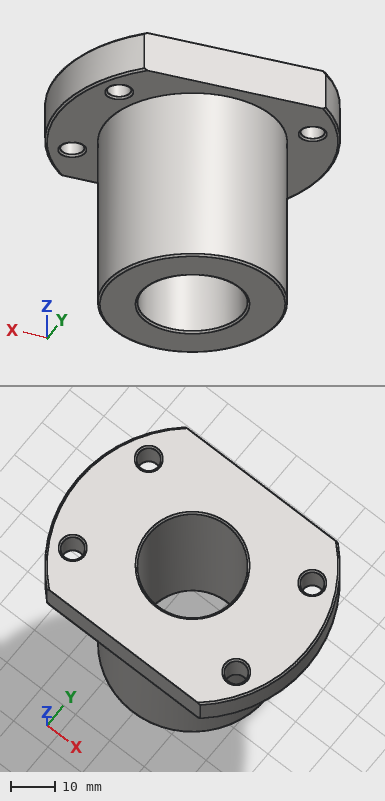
import cadquery as cq

flange_diameter = 67.0
flange_width = 50.0
flange_thickness = 10.0

total_height = 53.0
body_diameter = 43.0
bore_diameter = 25.0

hole_diameter = 5.5
bolt_circle_diameter = 55.0
hole_angle = 30.0

chamfer = 0.5

body_length = total_height - flange_thickness


def make_flange():
    """Disc with chamfered rims, trimmed by flats facing -Y and +Y."""
    disc = (
        cq.Workplane("XY")
        .workplane(offset=body_length)
        .circle(flange_diameter / 2)
        .extrude(flange_thickness)
        .edges()
        .chamfer(chamfer)
    )
    trim = cq.Workplane("XY").box(
        flange_diameter, flange_width, total_height, centered=(True, True, False)
    )
    return disc.intersect(trim)


def make_body():
    """Cylinder from the base up to the flange, chamfered at its base."""
    return (
        cq.Workplane("XY")
        .circle(body_diameter / 2)
        .extrude(body_length)
        .faces("<Z")
        .edges()
        .chamfer(chamfer)
    )


def hole_cutter(diameter, bottom, top):
    """Revolved cutter for a through hole with a chamfer at both ends."""
    radius = diameter / 2
    return (
        cq.Workplane("XZ")
        .moveTo(0, bottom)
        .lineTo(radius + chamfer, bottom)
        .lineTo(radius, bottom + chamfer)
        .lineTo(radius, top - chamfer)
        .lineTo(radius + chamfer, top)
        .lineTo(0, top)
        .close()
        .revolve(360, (0, 0, 0), (0, 1, 0))
    )


result = make_flange().union(make_body())
result = result.cut(hole_cutter(bore_diameter, 0, total_height))

mounting_hole = hole_cutter(hole_diameter, body_length, total_height).translate(
    (bolt_circle_diameter / 2, 0, 0)
)
for angle in (hole_angle, 180 - hole_angle, 180 + hole_angle, -hole_angle):
    result = result.cut(mounting_hole.rotate((0, 0, 0), (0, 0, 1), angle))